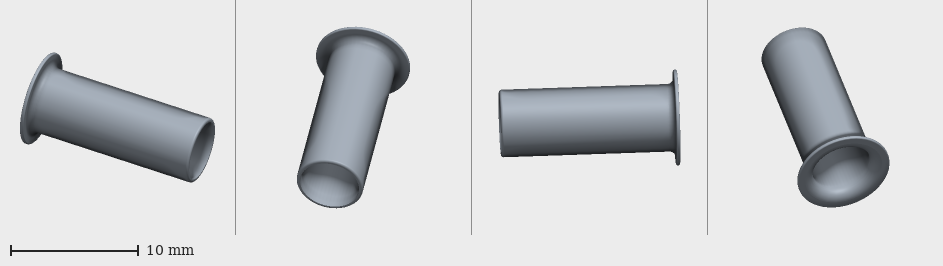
import cadquery as cq
import math

length = 14.0
flange_diameter = 7.5
tube_diameter = 5.3
wall = 0.3
mouth_radius = 0.8
rim_radius = 0.1
tip_radius = 0.2

flange_outer = flange_diameter / 2
tube_outer = tube_diameter / 2
bore = tube_outer - wall

neck_radius = mouth_radius - wall
flare_x = mouth_radius
flare_r = bore + mouth_radius


def arc_middle(center_x, center_r, radius, side_x, side_r):
    """Midpoint of a quarter arc lying toward the given signs of X and radius."""
    offset = radius * math.sqrt(0.5)
    return (center_x + side_x * offset, center_r + side_r * offset)


section = (
    cq.Workplane("XY")
    .moveTo(0, flare_r)
    .lineTo(0, flange_outer - rim_radius)
    .threePointArc(
        arc_middle(rim_radius, flange_outer - rim_radius, rim_radius, -1, 1),
        (rim_radius, flange_outer),
    )
    .lineTo(wall - rim_radius, flange_outer)
    .threePointArc(
        arc_middle(wall - rim_radius, flange_outer - rim_radius, rim_radius, 1, 1),
        (wall, flange_outer - rim_radius),
    )
    .lineTo(wall, flare_r)
    .threePointArc(
        arc_middle(flare_x, flare_r, neck_radius, -1, -1),
        (flare_x, tube_outer),
    )
    .lineTo(length - tip_radius, tube_outer)
    .threePointArc(
        arc_middle(length - tip_radius, tube_outer - tip_radius, tip_radius, 1, 1),
        (length, tube_outer - tip_radius),
    )
    .lineTo(length, bore)
    .lineTo(flare_x, bore)
    .threePointArc(
        arc_middle(flare_x, flare_r, mouth_radius, -1, -1),
        (0, flare_r),
    )
    .close()
)

result = section.revolve(360, (0, 0, 0), (1, 0, 0))